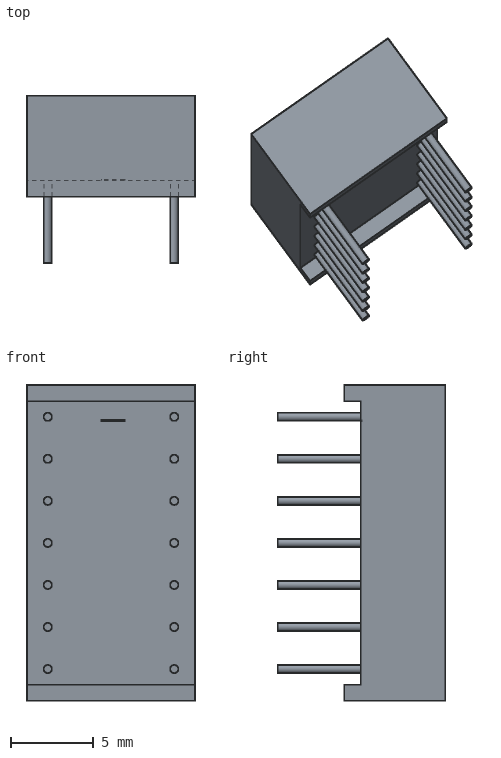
import cadquery as cq

height = 19.06
width = 10.15
total_depth = 10.1
pin_length = 5.0
pin_diameter = 0.5

ledge_height = 1.0
ledge_depth = 1.0

pins_per_column = 7
pin_pitch = 2.53
column_spacing = 7.62

groove_length = 1.41
groove_height = 0.08
groove_depth = 0.08
groove_x = 0.11
groove_z = 7.38

block_depth = total_depth - pin_length


def make_housing():
    """Block with a ledge along its top and bottom edges."""
    full_depth = block_depth + ledge_depth
    block = cq.Workplane("XY").box(width, full_depth, height).translate(
        (0, full_depth / 2 - ledge_depth, 0)
    )
    recess = cq.Workplane("XY").box(width, ledge_depth, height - 2 * ledge_height).translate(
        (0, -ledge_depth / 2, 0)
    )
    return block.cut(recess)


def make_pins():
    """Round pins standing on the pin face."""
    return (
        cq.Workplane("XZ")
        .rarray(column_spacing, pin_pitch, 2, pins_per_column)
        .circle(pin_diameter / 2)
        .extrude(pin_length)
    )


def make_groove():
    """Cutter for the fine groove in the pin face."""
    return (
        cq.Workplane("XZ")
        .center(groove_x, groove_z)
        .rect(groove_length, groove_height)
        .extrude(-groove_depth)
    )


result = make_housing().union(make_pins()).cut(make_groove())